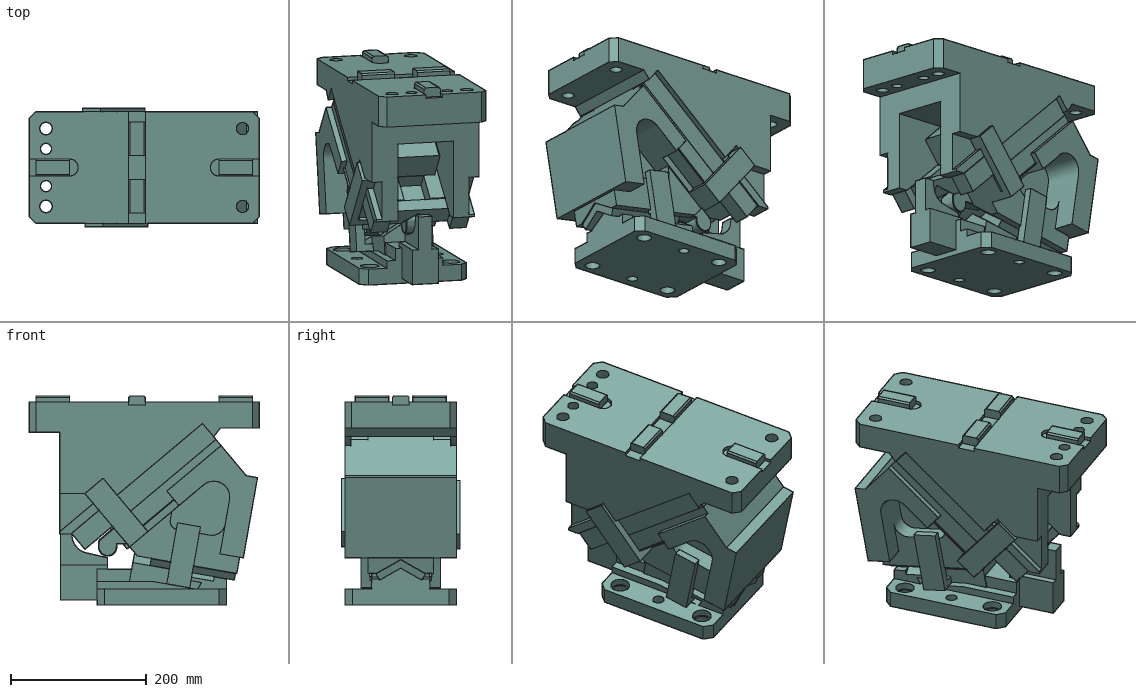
import cadquery as cq
import math


SLIDE_ANGLE = 40.0
ROOF_FALL = 10.0
ALONG_X = 0.0
ALONG_Z = 90.0
ALONG_U = SLIDE_ANGLE
ALONG_N = SLIDE_ANGLE + 90.0
ALONG_P = -ROOF_FALL
ALONG_Q = 90.0 - ROOF_FALL

HALF_WIDTH = 82.5
KEY_RISE = 8.8

HOLDER_LENGTH = 340.0
HOLDER_TOP = 300.0
FLANGE_LEFT_BOTTOM = 254.8
FLANGE_RIGHT_BOTTOM = 261.2
FLANGE_BEVEL_X = 282.5
FLANGE_BEVEL_ROOT_X = 272.5
LEG_X = 45.2
LEG_BOTTOM = 105.0
LEG_INNER = 42.7
TUNNEL_TOP = 220.0
HOLDER_CORNER = 10.0

RAIL_TOP = 40.8
RAIL_BOTTOM = 10.0
RAIL_START = 116.0
RAIL_INNER = 48.0
RAIL_OUTER = 73.5
LIP_TOP = 54.0
LIP_OUTER = 75.5
RECESS_FACE = 66.7
RECESS_TOP = 164.4

SLOT_WIDTH = 25.0
SLOT_DEPTH = 5.0
SLOT_LENGTH = 72.5
CROSS_SLOT_X = 159.3
KEY_LENGTH = 50.0
KEY_CHAMFER = 2.5
KEY_END_GAP = 10.0
CROSS_KEY_Y = 42.5
BOLT_HOLE = 18.0
DOWEL_HOLE = 16.0
HOLDER_HOLE_INSET = 25.0
BOLT_HOLE_Y = 57.5
HOLDER_DOWEL_Y = 27.5

SLIDE_START = 169.0
SLIDE_END = 368.5
TONGUE_START = 150.0
BUFFER_START = 130.7
BUFFER_TOP = 38.8
CORE_HALF = 48.0
CORE_BOTTOM = 99.3
CORE_END = 294.0
WING_BOTTOM = -29.6
BEAD_TOP = -17.7
BEAD_BOTTOM = -18.7
UPPER_WING_HALF = 73.8
BEAD_HALF = 76.5
LOWER_WING_HALF = 50.0
CHEEK_START = 264.0
CHEEK_TOP = -1.8
CHEEK_TOP_Q = 244.0
CHEEK_END = 299.5
CHEEK_FOOT = 123.5
CHEEK_WALL = 264.4
CHEEK_ARCH = 23.6
POCKET_START = 183.5
POCKET_BOTTOM = 148.0
POCKET_LEFT_CORNER = 12.0
POCKET_RIGHT_CORNER = 20.0
POCKET_FLOOR = 20.0

CHANNEL_END = 193.6
CHANNEL_FLOOR = 19.0
CHANNEL_HALF = 20.0
SPRING_START = 194.4
SPRING_LENGTH = 46.0
SPRING_TOP = 85.3
SPRING_HALF = 37.3
SPRING_CHAMFER = 2.0

HOOK_X = 116.0
HOOK_Z = 86.0
HOOK_RADIUS = 13.7
HOOK_EDGE = 1.0
HOOK_ELBOW = 7.0
HOOK_ROOT_X = 170.0
HOOK_ROOT_U = 182.0
HOOK_HALF = 12.5
HOOK_UNDERSIDE = 90.0
HOOK_TOP = 7.2

CLIP_LENGTH = 35.0
CLIP_TOP = 73.2
CLIP_OUTER = 87.5
CLIP_OFFSET = 5.0

RETURN_START = 194.6
RETURN_LENGTH = 34.5
RETURN_TOP = 157.7
RETURN_BOTTOM = 66.4
RETURN_OUTER = 59.0
RETURN_INNER = 45.4
HEEL_INNER = 42.0
HEEL_BOTTOM = 94.0
HEEL_START = 197.0
CLAW_INNER = 33.3
CLAW_TOP = 77.0

BASE_START = 100.5
BASE_END = 291.5
BASE_CORNER = 11.0
BASE_TOP = 24.0
RIDGE_HALF = 43.0
LEDGE_TOP = 35.0
LEDGE_Q = 66.0
BLOCK_HALF = 30.0
BLOCK_TOP = 53.0
CAM_START = 139.8
CAM_HALF = 32.0
ROOF_EAVE_Q = 88.4
ROOF_PITCH = 30.0
ROOF_SLOPE = math.tan(math.radians(ROOF_PITCH))
OVERHANG_START = 204.5
STOP_START = 262.0
CLAW_SLOT_END_X = 254.5
CLAW_SLOT_FOOT_X = 249.0
BASE_HOLE_Y = 62.0
BASE_HOLE_INSET = 25.5
BASE_DOWEL_X = 191.5
BASE_BOLT_HOLE = 22.0
COUNTERBORE = 27.0
COUNTERBORE_DEPTH = 10.0

PAD_START = 165.7
PAD_END = 292.0
PAD_THICKNESS = 11.2
PAD_HALF = 31.2

POST_START = 46.2
POST_END = 116.0
POST_BOTTOM = 7.5
POST_SHOULDER = 59.5
POST_LOWER_HALF = 20.0
POST_UPPER_HALF = 10.2
POST_TOP = 108.7
POST_CREST_X = 63.5
POST_CURVE = 27.0
POST_END_TOP = 70.0
POST_RAMP = 13.0


def corner(line_a, line_b):
    """The XZ point where two lines meet."""
    a, b = math.radians(line_a[0]), math.radians(line_b[0])
    det = math.sin(b - a)
    x = (line_a[1] * math.sin(b) - line_b[1] * math.sin(a)) / det
    z = (line_b[1] * math.cos(a) - line_a[1] * math.cos(b)) / det
    return (x, z)


def incline(u, n):
    return corner((ALONG_U, u), (ALONG_N, n))


def fall(p, q):
    return corner((ALONG_P, p), (ALONG_Q, q))


def incline_box(u0, u1, n0, n1):
    return [incline(u0, n0), incline(u1, n0), incline(u1, n1), incline(u0, n1)]


def fall_box(p0, p1, q0, q1):
    return [fall(p0, q0), fall(p1, q0), fall(p1, q1), fall(p0, q1)]


def slab(outline, half_width):
    """A prism of an XZ outline, centred on Y = 0."""
    return cq.Workplane("XZ").polyline(outline).close().extrude(half_width, both=True)


def side(outline, inner, outer):
    """A prism of an XZ outline on the -Y side, between two distances from Y = 0."""
    return cq.Workplane("XZ").workplane(offset=inner).polyline(outline).close().extrude(outer - inner)


def pair(shape):
    """A -Y side shape together with its mirror image."""
    return shape.union(shape.mirror("XZ"))


def along(angle, section, start, end):
    """A prism of a section, given as (y, height square to the direction), along a direction in XZ."""
    direction = (math.cos(math.radians(angle)), 0, math.sin(math.radians(angle)))
    plane = cq.Plane(origin=(0, 0, 0), xDir=(0, 1, 0), normal=direction)
    return cq.Workplane(plane).workplane(offset=start).polyline(section).close().extrude(end - start)


def round_edge(shape, point, radius):
    """Round the edge parallel to Y that passes nearest to an XZ point."""
    x, z = point
    middle = shape.val().BoundingBox().center.y
    return shape.edges("|Y").edges(cq.NearestToPointSelector((x, middle, z))).fillet(radius)


def roof_q(y):
    return ROOF_EAVE_Q + (CAM_HALF - abs(y)) * ROOF_SLOPE


def holes(points, diameter, top, depth):
    return cq.Workplane("XY").workplane(offset=top).pushPoints(points).circle(diameter / 2).extrude(-depth)


def holder_block():
    outline = [
        (0, HOLDER_TOP),
        (0, FLANGE_LEFT_BOTTOM),
        (LEG_X, FLANGE_LEFT_BOTTOM),
        (LEG_X, LEG_BOTTOM),
        corner((ALONG_Z, LEG_BOTTOM), (ALONG_N, RAIL_TOP)),
        incline(SLIDE_END, RAIL_TOP),
        corner((ALONG_U, SLIDE_END), (ALONG_X, FLANGE_BEVEL_ROOT_X)),
        (FLANGE_BEVEL_X, FLANGE_RIGHT_BOTTOM),
        (HOLDER_LENGTH, FLANGE_RIGHT_BOTTOM),
        (HOLDER_LENGTH, HOLDER_TOP),
    ]
    block = slab(outline, HALF_WIDTH)
    corners = block.edges("|Z").edges("<X or >X")
    return corners.chamfer(HOLDER_CORNER)


def leg_recess():
    recess = [
        (LEG_X, RECESS_TOP),
        corner((ALONG_Z, RECESS_TOP), (ALONG_N, CLIP_TOP)),
        incline(SLIDE_START + CLIP_LENGTH, CLIP_TOP),
        incline(SLIDE_START + CLIP_LENGTH, LIP_TOP),
        corner((ALONG_X, LEG_X), (ALONG_N, LIP_TOP)),
    ]
    under_lip = [
        recess[-1],
        recess[-2],
        incline(SLIDE_START + CLIP_LENGTH, RAIL_TOP),
        corner((ALONG_Z, LEG_BOTTOM), (ALONG_N, RAIL_TOP)),
        (LEG_X, LEG_BOTTOM),
    ]
    return pair(side(recess, RECESS_FACE, HALF_WIDTH).union(side(under_lip, LIP_OUTER, HALF_WIDTH)))


def key(x, y, size_x, size_y):
    height = SLOT_DEPTH + KEY_RISE
    bar = cq.Workplane("XY").box(size_x, size_y, height, centered=(True, True, False))
    long_edges = bar.faces(">Z").edges("|X" if size_x > size_y else "|Y")
    return long_edges.chamfer(KEY_CHAMFER).translate((x, y, HOLDER_TOP - SLOT_DEPTH))


def key_slots():
    floor = HOLDER_TOP - SLOT_DEPTH
    plane = cq.Workplane("XY").workplane(offset=floor)
    slots = plane.center(CROSS_SLOT_X, 0).rect(SLOT_WIDTH, 2 * HALF_WIDTH).extrude(SLOT_DEPTH)
    for x in (0, HOLDER_LENGTH):
        slots = slots.union(plane.center(x, 0).slot2D(2 * SLOT_LENGTH, SLOT_WIDTH).extrude(SLOT_DEPTH))
    return slots


def holder():
    """The upper body, with its two guide rails and four locating keys."""
    body = holder_block()
    tunnel = [(LEG_X, 0), (HOLDER_LENGTH, 0), (HOLDER_LENGTH, TUNNEL_TOP), (LEG_X, TUNNEL_TOP)]
    body = body.cut(slab(tunnel, LEG_INNER))
    body = body.cut(leg_recess())
    rail = incline_box(RAIL_START, SLIDE_END, RAIL_BOTTOM, RAIL_TOP)
    body = body.union(pair(side(rail, RAIL_INNER, RAIL_OUTER)))
    body = body.cut(key_slots())

    flange = HOLDER_TOP - FLANGE_LEFT_BOTTOM
    left, right = HOLDER_HOLE_INSET, HOLDER_LENGTH - HOLDER_HOLE_INSET
    bolts = [(x, y) for x in (left, right) for y in (-BOLT_HOLE_Y, BOLT_HOLE_Y)]
    dowels = [(left, -HOLDER_DOWEL_Y), (left, HOLDER_DOWEL_Y)]
    body = body.cut(holes(bolts, BOLT_HOLE, HOLDER_TOP, flange))
    body = body.cut(holes(dowels, DOWEL_HOLE, HOLDER_TOP, flange))

    end_key = KEY_END_GAP + KEY_LENGTH / 2
    for x in (end_key, HOLDER_LENGTH - end_key):
        body = body.union(key(x, 0, KEY_LENGTH, SLOT_WIDTH))
    for y in (-CROSS_KEY_Y, CROSS_KEY_Y):
        body = body.union(key(CROSS_SLOT_X, y, SLOT_WIDTH, KEY_LENGTH))
    return body


def slide_core():
    outline = [
        incline(SLIDE_START, RAIL_BOTTOM),
        corner((ALONG_U, SLIDE_START), (ALONG_Q, CORE_BOTTOM)),
        fall(CORE_END, CORE_BOTTOM),
        fall(CORE_END, CHEEK_FOOT),
        fall(CHEEK_END, CHEEK_FOOT),
        fall(CHEEK_END, CHEEK_TOP_Q),
        corner((ALONG_U, SLIDE_END), (ALONG_Q, CHEEK_TOP_Q)),
        incline(SLIDE_END, RAIL_BOTTOM),
    ]
    return slab(outline, CORE_HALF)


def slide_tongue():
    """The part of the slide between the rails: a channel in its top and a slightly lower buffer in front."""
    tongue = slab(incline_box(TONGUE_START, SLIDE_END, RAIL_BOTTOM, RAIL_TOP), RAIL_INNER)
    buffer = slab(incline_box(BUFFER_START, TONGUE_START, RAIL_BOTTOM, BUFFER_TOP), RAIL_INNER)
    channel = slab(incline_box(TONGUE_START, CHANNEL_END, CHANNEL_FLOOR, RAIL_TOP), CHANNEL_HALF)
    return tongue.cut(channel).union(buffer)


def slide_wings():
    """The wings under the rails, with a narrow bead along the lower edge of the wide part."""
    upper = slab(incline_box(SLIDE_START, SLIDE_END, BEAD_BOTTOM, RAIL_BOTTOM), UPPER_WING_HALF)
    bead = slab(incline_box(SLIDE_START, SLIDE_END, BEAD_BOTTOM, BEAD_TOP), BEAD_HALF)
    lower = slab(incline_box(SLIDE_START, SLIDE_END, WING_BOTTOM, BEAD_BOTTOM), LOWER_WING_HALF)
    return upper.union(bead).union(lower)


def slide_cheeks():
    arch = corner((ALONG_N, WING_BOTTOM), (ALONG_P, CHEEK_WALL))
    outline = [
        incline(CHEEK_START, CHEEK_TOP),
        incline(CHEEK_START, WING_BOTTOM),
        arch,
        fall(CHEEK_WALL, CHEEK_FOOT),
        fall(CHEEK_END, CHEEK_FOOT),
        fall(CHEEK_END, CHEEK_TOP_Q),
        corner((ALONG_U, SLIDE_END), (ALONG_Q, CHEEK_TOP_Q)),
        incline(SLIDE_END, CHEEK_TOP),
    ]
    return round_edge(slab(outline, HALF_WIDTH), arch, CHEEK_ARCH)


def slide_pockets():
    arch = corner((ALONG_N, WING_BOTTOM), (ALONG_P, CHEEK_WALL))
    lower_left = fall(POCKET_START, POCKET_BOTTOM)
    lower_right = fall(CHEEK_WALL, POCKET_BOTTOM)
    outline = [
        arch,
        corner((ALONG_N, WING_BOTTOM), (ALONG_P, POCKET_START)),
        lower_left,
        lower_right,
    ]
    pocket = side(outline, POCKET_FLOOR, CORE_HALF)
    pocket = round_edge(pocket, arch, CHEEK_ARCH)
    pocket = round_edge(pocket, lower_left, POCKET_LEFT_CORNER)
    return pair(round_edge(pocket, lower_right, POCKET_RIGHT_CORNER))


def roof_groove():
    """The V-shaped channel along the underside of the slide."""
    rise = PAD_THICKNESS / math.cos(math.radians(ROOF_PITCH))
    peak = roof_q(0) + rise
    foot_y = (peak - CORE_BOTTOM) / ROOF_SLOPE
    section = [(-foot_y, CORE_BOTTOM), (0, peak), (foot_y, CORE_BOTTOM)]
    return along(ALONG_P, section, 0, HOLDER_LENGTH)


def roof_pad():
    """The V-shaped wear pad that rides on the roof of the base."""
    slope = math.radians(ROOF_PITCH)
    rise = PAD_THICKNESS / math.cos(slope)
    top_y = PAD_HALF + PAD_THICKNESS * math.sin(slope)
    section = [
        (-PAD_HALF, roof_q(PAD_HALF)),
        (0, roof_q(0)),
        (PAD_HALF, roof_q(PAD_HALF)),
        (top_y, roof_q(top_y) + rise),
        (0, roof_q(0) + rise),
        (-top_y, roof_q(top_y) + rise),
    ]
    return along(ALONG_P, section, PAD_START, PAD_END)


def spring_block():
    """The block that stands on the tongue inside the tunnel of the holder."""
    top_half = SPRING_HALF - SPRING_CHAMFER
    section = [
        (-SPRING_HALF, RAIL_TOP),
        (SPRING_HALF, RAIL_TOP),
        (SPRING_HALF, SPRING_TOP - SPRING_CHAMFER),
        (top_half, SPRING_TOP),
        (-top_half, SPRING_TOP),
        (-SPRING_HALF, SPRING_TOP - SPRING_CHAMFER),
    ]
    return along(ALONG_U, section, SPRING_START, SPRING_START + SPRING_LENGTH)


def slide_hook():
    left = HOOK_X - HOOK_RADIUS
    right = HOOK_X + HOOK_RADIUS
    elbow = corner((ALONG_X, left), (ALONG_N, HOOK_TOP))
    hook = (
        cq.Workplane("XZ")
        .moveTo(left, HOOK_Z)
        .lineTo(*elbow)
        .lineTo(*incline(HOOK_ROOT_U, HOOK_TOP))
        .lineTo(HOOK_ROOT_X, HOOK_UNDERSIDE)
        .lineTo(right, HOOK_UNDERSIDE)
        .lineTo(right, HOOK_Z)
        .threePointArc((HOOK_X, HOOK_Z - HOOK_RADIUS), (left, HOOK_Z))
        .close()
        .extrude(HOOK_HALF, both=True)
    )
    hook = round_edge(hook, elbow, HOOK_ELBOW)
    return hook.faces("|Y").edges().chamfer(HOOK_EDGE)


def holder_clip(offset):
    """The -Y side plate on the slide whose upper end reaches over the lip of the holder."""
    start = SLIDE_START + offset
    end = start + CLIP_LENGTH
    plate = side(incline_box(start, end, WING_BOTTOM, CLIP_TOP), BEAD_HALF, CLIP_OUTER)
    reach = side(incline_box(start, end, LIP_TOP, CLIP_TOP), RECESS_FACE, BEAD_HALF)
    foot = side(incline_box(start, end, WING_BOTTOM, BEAD_BOTTOM), LOWER_WING_HALF, BEAD_HALF)
    bead_end = side(incline_box(start, end, BEAD_BOTTOM, BEAD_TOP), UPPER_WING_HALF, BEAD_HALF)
    return plate.union(reach).union(foot).union(bead_end)


def return_plate():
    """The -Y side plate on the slide whose claw reaches under the overhang of the base."""
    end = RETURN_START + RETURN_LENGTH
    plate = side(fall_box(RETURN_START, end, RETURN_BOTTOM, RETURN_TOP), CORE_HALF, RETURN_OUTER)
    lower = side(fall_box(RETURN_START, end, RETURN_BOTTOM, CORE_BOTTOM), RETURN_INNER, CORE_HALF)
    claw = side(fall_box(RETURN_START, end, RETURN_BOTTOM, CLAW_TOP), CLAW_INNER, RETURN_INNER)
    heel = side(fall_box(HEEL_START, end, HEEL_BOTTOM, CORE_BOTTOM), HEEL_INNER, RETURN_INNER)
    return plate.union(lower).union(claw).union(heel)


def slide():
    """The moving body, with its pad, buffer, spring block and retaining plates."""
    body = slide_core()
    body = body.cut(slide_pockets())
    body = body.union(slide_tongue())
    body = body.union(slide_wings())
    body = body.union(slide_cheeks())
    body = body.cut(roof_groove())
    body = body.union(slide_hook())
    body = body.union(roof_pad())
    body = body.union(spring_block())
    body = body.union(holder_clip(0))
    body = body.union(holder_clip(-CLIP_OFFSET).mirror("XZ"))
    return body.union(pair(return_plate()))


def base_ridge():
    """The central ridge with the falling V roof, undercut on both sides for the claws."""
    floor_start = corner((ALONG_Z, LEDGE_TOP), (ALONG_Q, LEDGE_Q))
    outline = [
        (BASE_START, BASE_TOP),
        (BASE_END, BASE_TOP),
        corner((ALONG_X, BASE_END), (ALONG_Q, roof_q(0))),
        fall(CAM_START, roof_q(0)),
        corner((ALONG_P, CAM_START), (ALONG_Z, BLOCK_TOP)),
        (BASE_START, BLOCK_TOP),
    ]
    ridge = slab(outline, RIDGE_HALF)

    ceiling = roof_q(0)
    section = [(0, ceiling), (RIDGE_HALF, roof_q(RIDGE_HALF)), (RIDGE_HALF, ceiling)]
    roof_cut = along(ALONG_P, section, 0, STOP_START)
    end_section = [
        (0, ceiling),
        (CAM_HALF, ROOF_EAVE_Q),
        (RIDGE_HALF, ROOF_EAVE_Q),
        (RIDGE_HALF, ceiling),
    ]
    roof_cut = roof_cut.union(along(ALONG_P, end_section, STOP_START, HOLDER_LENGTH))
    ridge = ridge.cut(pair(roof_cut))

    undercut = [
        (BASE_START, LEDGE_TOP),
        floor_start,
        corner((ALONG_Z, BASE_TOP), (ALONG_Q, LEDGE_Q)),
        (CLAW_SLOT_FOOT_X, BASE_TOP),
        corner((ALONG_X, CLAW_SLOT_END_X), (ALONG_Q, CLAW_TOP)),
        fall(OVERHANG_START, CLAW_TOP),
        fall(OVERHANG_START, ceiling),
        (BASE_START, HOLDER_TOP),
    ]
    ridge = ridge.cut(pair(side(undercut, CAM_HALF, RIDGE_HALF)))
    shoulder = [
        (BASE_START, LEDGE_TOP),
        corner((ALONG_P, CAM_START), (ALONG_Z, LEDGE_TOP)),
        corner((ALONG_P, CAM_START), (ALONG_Z, BLOCK_TOP)),
        (BASE_START, BLOCK_TOP),
    ]
    return ridge.cut(pair(side(shoulder, BLOCK_HALF, CAM_HALF)))


def post():
    lower = slab(
        [
            (POST_START, POST_BOTTOM),
            (POST_END, POST_BOTTOM),
            (POST_END, POST_SHOULDER),
            (POST_START, POST_SHOULDER),
        ],
        POST_LOWER_HALF,
    )
    ramp = math.radians(POST_RAMP)
    center_x = POST_CREST_X + POST_CURVE
    tangent_x = center_x - POST_CURVE * math.sin(ramp)
    tangent_z = POST_END_TOP + (POST_END - tangent_x) * math.tan(ramp)
    center_z = tangent_z + POST_CURVE * math.cos(ramp)
    half_turn = (math.pi / 2 - ramp) / 2
    middle = (center_x - POST_CURVE * math.cos(half_turn), center_z - POST_CURVE * math.sin(half_turn))
    upper = (
        cq.Workplane("XZ")
        .moveTo(POST_START, POST_SHOULDER)
        .lineTo(POST_START, POST_TOP)
        .lineTo(POST_CREST_X, POST_TOP)
        .lineTo(POST_CREST_X, center_z)
        .threePointArc(middle, (tangent_x, tangent_z))
        .lineTo(POST_END, POST_END_TOP)
        .lineTo(POST_END, POST_SHOULDER)
        .close()
        .extrude(POST_UPPER_HALF, both=True)
    )
    return lower.union(upper)


def base():
    """The fixed lower body: bolted plate, roof ridge and front post."""
    length = BASE_END - BASE_START
    plate = cq.Workplane("XY").box(length, 2 * HALF_WIDTH, BASE_TOP, centered=(False, True, False))
    plate = plate.edges("|Z").chamfer(BASE_CORNER).translate((BASE_START, 0, 0))

    sides = (-BASE_HOLE_Y, BASE_HOLE_Y)
    bolts = [(x, y) for x in (BASE_START + BASE_HOLE_INSET, BASE_END - BASE_HOLE_INSET) for y in sides]
    dowels = [(BASE_DOWEL_X, y) for y in sides]
    plate = plate.cut(holes(bolts, BASE_BOLT_HOLE, BASE_TOP, BASE_TOP))
    plate = plate.cut(holes(bolts, COUNTERBORE, BASE_TOP, COUNTERBORE_DEPTH))
    plate = plate.cut(holes(dowels, DOWEL_HOLE, BASE_TOP, BASE_TOP))
    return plate.union(base_ridge()).union(post())


holder_body = holder()
slide_body = slide()
base_body = base()

result = cq.Compound.makeCompound([*holder_body.vals(), *slide_body.vals(), *base_body.vals()])